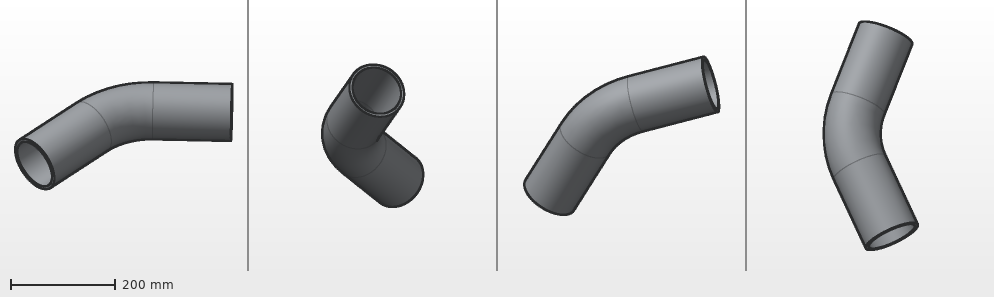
import cadquery as cq
import math

outer_diameter = 110.0
wall_thickness = 6.6
bend_angle = 45.0
bend_radius = 1.5 * outer_diameter
leg_length = 150.0

outer_radius = outer_diameter / 2
bore_radius = outer_radius - wall_thickness


def bend_point(angle):
    """Centreline point after turning by the given angle (degrees) from +Y towards +X."""
    turn = math.radians(angle)
    return (
        bend_radius * (1 - math.cos(turn)),
        leg_length + bend_radius * math.sin(turn),
    )


def centreline():
    """Straight leg along +Y, tangent arc, then a straight leg at the bend angle."""
    bend_end = bend_point(bend_angle)
    turn = math.radians(bend_angle)
    outlet = (
        bend_end[0] + leg_length * math.sin(turn),
        bend_end[1] + leg_length * math.cos(turn),
    )
    return (
        cq.Workplane("XY")
        .moveTo(0, 0)
        .lineTo(0, leg_length)
        .threePointArc(bend_point(bend_angle / 2), bend_end)
        .lineTo(*outlet)
    )


def pipe():
    """Annular section at the inlet, swept along the centreline."""
    section = cq.Workplane("XZ").circle(outer_radius).circle(bore_radius)
    return section.sweep(centreline())


result = pipe()